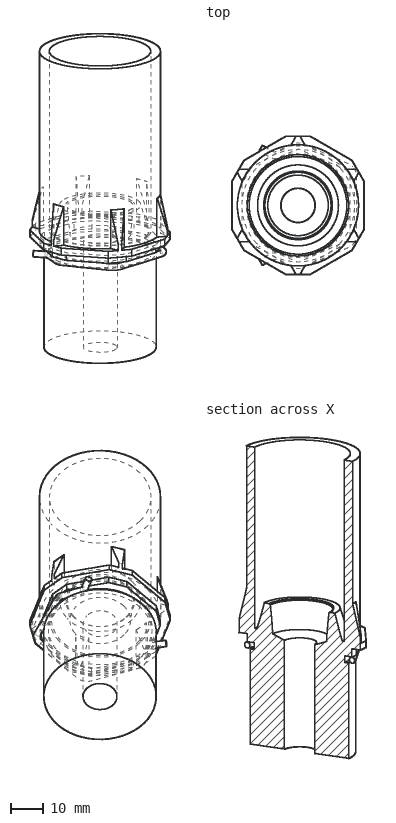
import cadquery as cq
import math

TOTAL_HEIGHT = 96.0
GROOVE_BOTTOM = 30.8
WIRE_DIAMETER = 2.0
SHOULDER_BOTTOM = GROOVE_BOTTOM + WIRE_DIAMETER
SHOULDER_HEIGHT = 2.6
FLANGE_BOTTOM = SHOULDER_BOTTOM + SHOULDER_HEIGHT
FLANGE_THICKNESS = 2.2
FLANGE_TOP = FLANGE_BOTTOM + FLANGE_THICKNESS

UPPER_RADIUS = 18.8
LOWER_RADIUS = 17.5
GROOVE_RADIUS = 16.1
FLANGE_WIDTH_X = 41.0
FLANGE_WIDTH_Y = 43.0
SHOULDER_INSET = 3.0
HEXAGON_HALF_STEP = 360 / 6 / 2

RIB_COUNT = 6
RIB_TIP_WIDTH = 1.2
RIB_SIDE_ANGLE = 30.0
RIB_TIP_TOP = 39.7
RIB_TOP = 50.1

BORE_RADIUS = 15.7
BORE_FLOOR = FLANGE_TOP
NOZZLE_BASE_RADIUS = 15.2
NOZZLE_TIP_RADIUS = 12.6
NOZZLE_HEIGHT = 8.6
SOCKET_MOUTH_RADIUS = 10.7
SOCKET_CHAMFER = 0.4
SOCKET_END_RADIUS = 9.4
SOCKET_DEPTH = 9.6
FUNNEL_DEPTH = 1.5
HOLE_RADIUS = 5.3

WIRE_RADIUS = WIRE_DIAMETER / 2
CLIP_REACH = GROOVE_RADIUS + WIRE_RADIUS
CLIP_SIDE_TILT = 23.5
CLIP_BEND_RADIUS = 1.9
CLIP_CLOSED_END_BEND_RADIUS = 3.3
CLIP_FOOT_X = 7.5
CLIP_LEG_ANGLE = 30.0
CLIP_LEG_LENGTH = 4.7


def hexagon_prism(width, turn, bottom, height):
    """Hexagonal prism of the given width across flats, with a flat facing +X before it is turned."""
    corner_diameter = width / math.cos(math.radians(HEXAGON_HALF_STEP))
    prism = cq.Workplane("XY").polygon(6, corner_diameter).extrude(height)
    return prism.rotate((0, 0, 0), (0, 0, 1), HEXAGON_HALF_STEP + turn).translate((0, 0, bottom))


def twelve_sided_plate(width_x, width_y, bottom, height):
    """Hexagon whose corners are cut off by a second hexagon turned by half a step."""
    flats_on_x = hexagon_prism(width_x, 0, bottom, height)
    flats_on_y = hexagon_prism(width_y, HEXAGON_HALF_STEP, bottom, height)
    return flats_on_x.intersect(flats_on_y)


def rib():
    """Wedge facing +X that narrows outward and has a sloping back. Its root lies inside the tube wall."""
    tip_x = FLANGE_WIDTH_Y / 2
    root_x = (BORE_RADIUS + UPPER_RADIUS) / 2
    tip_half = RIB_TIP_WIDTH / 2
    root_half = tip_half + (tip_x - root_x) * math.tan(math.radians(RIB_SIDE_ANGLE))
    wedge = (
        cq.Workplane("XY", origin=(0, 0, FLANGE_TOP))
        .polyline([(root_x, -root_half), (tip_x, -tip_half), (tip_x, tip_half), (root_x, root_half)])
        .close()
        .extrude(RIB_TOP - FLANGE_TOP)
    )
    profile = (
        cq.Workplane("XZ")
        .polyline([
            (root_x, FLANGE_TOP),
            (tip_x, FLANGE_TOP),
            (tip_x, RIB_TIP_TOP),
            (UPPER_RADIUS, RIB_TOP),
            (root_x, RIB_TOP),
        ])
        .close()
        .extrude(root_half, both=True)
    )
    return wedge.intersect(profile)


def turned(half_section):
    """Solid of revolution about Z from its half section of (radius, height) points."""
    return cq.Workplane("XZ").polyline(half_section).close().revolve(360, (0, 0), (0, 1))


def tubes():
    """Solid round core: lower tube, clip groove and upper tube."""
    return turned([
        (0, 0),
        (LOWER_RADIUS, 0),
        (LOWER_RADIUS, GROOVE_BOTTOM),
        (GROOVE_RADIUS, GROOVE_BOTTOM),
        (GROOVE_RADIUS, FLANGE_TOP),
        (UPPER_RADIUS, FLANGE_TOP),
        (UPPER_RADIUS, TOTAL_HEIGHT),
        (0, TOTAL_HEIGHT),
    ])


def cavity():
    """Space inside the housing: through hole, funnel, nozzle socket and the bore around the nozzle."""
    nozzle_top = BORE_FLOOR + NOZZLE_HEIGHT
    funnel_top = nozzle_top - SOCKET_DEPTH
    funnel_bottom = funnel_top - FUNNEL_DEPTH
    return turned([
        (0, 0),
        (HOLE_RADIUS, 0),
        (HOLE_RADIUS, funnel_bottom),
        (SOCKET_END_RADIUS, funnel_top),
        (SOCKET_MOUTH_RADIUS - SOCKET_CHAMFER, nozzle_top - SOCKET_CHAMFER),
        (SOCKET_MOUTH_RADIUS, nozzle_top),
        (NOZZLE_TIP_RADIUS, nozzle_top),
        (NOZZLE_BASE_RADIUS, BORE_FLOOR),
        (BORE_RADIUS, BORE_FLOOR),
        (BORE_RADIUS, TOTAL_HEIGHT),
        (0, TOTAL_HEIGHT),
    ])


def make_housing():
    """Tubes, flange, shoulder and ribs as one solid, hollowed by the cavity."""
    flange = twelve_sided_plate(FLANGE_WIDTH_X, FLANGE_WIDTH_Y, FLANGE_BOTTOM, FLANGE_THICKNESS)
    shoulder = twelve_sided_plate(
        FLANGE_WIDTH_X - 2 * SHOULDER_INSET,
        FLANGE_WIDTH_Y - 2 * SHOULDER_INSET,
        SHOULDER_BOTTOM,
        SHOULDER_HEIGHT,
    )
    housing = tubes().union(flange).union(shoulder)
    rib_spacing = 360 / RIB_COUNT
    for index in range(RIB_COUNT):
        angle = (index + 0.5) * rib_spacing
        housing = housing.union(rib().rotate((0, 0, 0), (0, 0, 1), angle))
    return housing.cut(cavity())


def clip_corners():
    """Corners of the clip's centre line: leg, two sides meeting at a peak, closed end, then mirrored."""
    tilt = math.radians(CLIP_SIDE_TILT)
    leg = math.radians(CLIP_LEG_ANGLE)
    peak_y = CLIP_REACH / math.cos(tilt)
    foot_y = peak_y - CLIP_FOOT_X * math.tan(tilt)
    end = (-CLIP_FOOT_X - CLIP_LEG_LENGTH * math.cos(leg), foot_y + CLIP_LEG_LENGTH * math.sin(leg))
    side_end = (CLIP_REACH, peak_y - CLIP_REACH * math.tan(tilt))
    upper_half = [end, (-CLIP_FOOT_X, foot_y), (0, peak_y), side_end]
    return upper_half + [(x, -y) for x, y in reversed(upper_half)]


def make_clip():
    """Round wire swept along the clip corners, with a rounded bend at each."""
    corners = [cq.Vector(x, y, GROOVE_BOTTOM + WIRE_RADIUS) for x, y in clip_corners()]
    edges = []
    start = corners[0]
    for before, corner, after in zip(corners, corners[1:], corners[2:]):
        at_closed_end = corner.x > 0
        bend_radius = CLIP_CLOSED_END_BEND_RADIUS if at_closed_end else CLIP_BEND_RADIUS
        back = (before - corner).normalized()
        ahead = (after - corner).normalized()
        half_turn = (math.pi - back.getAngle(ahead)) / 2
        setback = bend_radius * math.tan(half_turn)
        bend_start = corner + back * setback
        bend_end = corner + ahead * setback
        edges.append(cq.Edge.makeLine(start, bend_start))
        edges.append(cq.Edge.makeTangentArc(bend_start, back * -1, bend_end))
        start = bend_end
    edges.append(cq.Edge.makeLine(start, corners[-1]))
    centre_line = cq.Wire.assembleEdges(edges)
    end_plane = cq.Plane(origin=corners[0], normal=corners[1] - corners[0])
    return cq.Workplane(end_plane).circle(WIRE_RADIUS).sweep(centre_line)


housing = make_housing()
clip = make_clip()
result = cq.Compound.makeCompound([housing.val(), clip.val()])